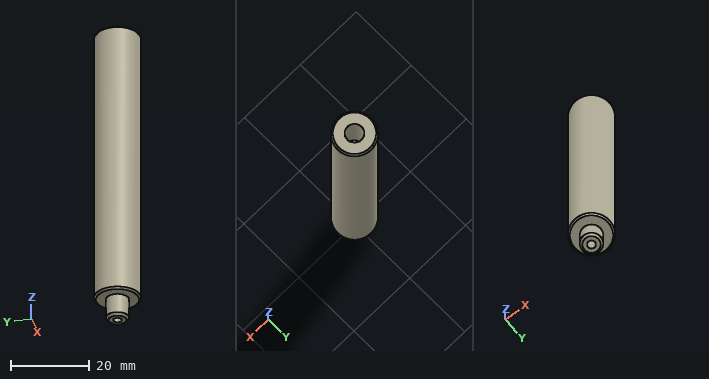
import cadquery as cq
import math

total_length = 83.0
body_diameter = 12.0
spigot_diameter = 6.0
spigot_length = 6.0
body_length = total_length - spigot_length

body_chamfer = 0.5
spigot_chamfer = 0.7

bore_diameter = 5.0
bore_depth = 14.9
floor_cone_angle = 118.0
through_diameter = 2.2


def make_body():
    """Main cylinder standing on Z = 0, chamfered at both ends."""
    body = cq.Workplane("XY").circle(body_diameter / 2).extrude(body_length)
    return body.faces("<Z or >Z").chamfer(body_chamfer)


def make_spigot():
    """Thin stub hanging below the body, chamfered at its free end."""
    spigot = cq.Workplane("XY").circle(spigot_diameter / 2).extrude(-spigot_length)
    return spigot.faces("<Z").chamfer(spigot_chamfer)


def make_bore():
    """Drilled bore with a conical floor, opening at the top of the body."""
    cone_height = bore_diameter / 2 / math.tan(math.radians(floor_cone_angle / 2))
    floor_edge = body_length - bore_depth
    profile = (
        cq.Workplane("XZ")
        .moveTo(0, body_length)
        .lineTo(bore_diameter / 2, body_length)
        .lineTo(bore_diameter / 2, floor_edge)
        .lineTo(0, floor_edge - cone_height)
        .close()
    )
    return profile.revolve(360, (0, 0), (0, 1))


def make_through_hole():
    """Narrow hole along the whole axis."""
    hole = cq.Workplane("XY").workplane(offset=-spigot_length)
    return hole.circle(through_diameter / 2).extrude(total_length)


solid_post = make_body().union(make_spigot())
result = solid_post.cut(make_bore()).cut(make_through_hole())